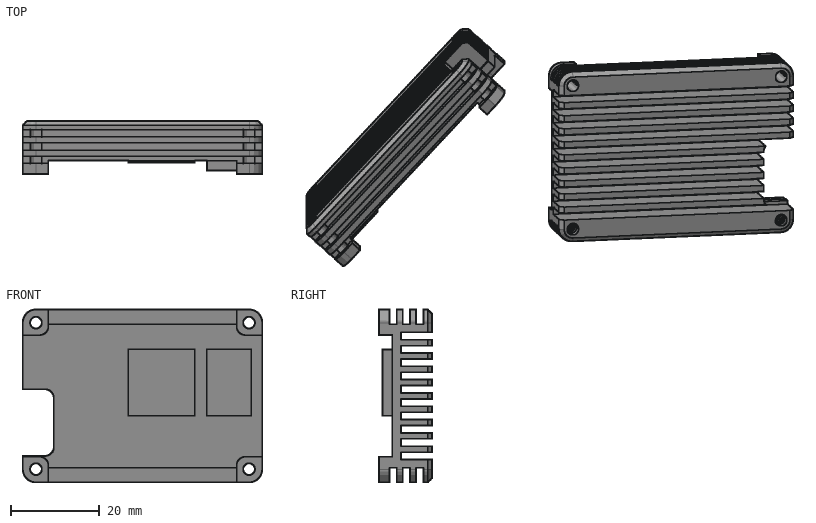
import cadquery as cq


length = 54.0
depth = 12.0
height = 39.0
corner_radius = 3.0
tip_chamfer = 1.0

plate_front = 3.0
plate_back = 5.0

slot_pitch = 3.0
slot_width = 1.6
back_slot_count = 10
rim_slot_count = 3
rim_slot_depth = 3.3
end_fin_thickness = 2.0

boss_size = 5.8
boss_inner_radius = 2.0
hole_diameter = 2.6
hole_inset = corner_radius

notch_depth = 7.0
notch_height = 15.0
notch_base = 6.0
notch_radius = 2.0

pad_height = 15.0
pad_top_inset = 9.0
large_pad_length = 15.0
large_pad_inset = 23.8
large_pad_thickness = 0.4
small_pad_length = 10.0
small_pad_inset = 41.5
small_pad_thickness = 2.2

left = -length / 2
bottom = -height / 2
top = height / 2


def block(x_min, x_size, y_min, y_max, z_min, z_size):
    """Box given by its low corner in X and Z and its limits in Y."""
    box = cq.Workplane("XY").box(x_size, y_max - y_min, z_size, centered=False)
    return box.translate((x_min, y_min, z_min))


def make_body():
    """Rounded block with its fin-tip edge chamfered."""
    body = cq.Workplane("XY").box(length, depth, height).translate((0, depth / 2, 0))
    body = body.edges("|Y").fillet(corner_radius)
    return body.faces(">Y").edges().chamfer(tip_chamfer)


def make_corner_boss(x_side, z_side):
    """Square boss filling one corner, rounded on the corner facing the part centre."""
    boss = cq.Workplane("XY").box(boss_size, plate_front, boss_size)
    x_edge = "<X" if x_side > 0 else ">X"
    z_edge = "<Z" if z_side > 0 else ">Z"
    boss = boss.edges("|Y").edges(x_edge).edges(z_edge).fillet(boss_inner_radius)
    x_centre = x_side * (length - boss_size) / 2
    z_centre = z_side * (height - boss_size) / 2
    return boss.translate((x_centre, plate_front / 2, z_centre))


def cut_front_recess(body):
    """Clear everything ahead of the plate except the corner bosses."""
    recess = block(left, length, 0, plate_front, bottom, height)
    for x_side in (-1, 1):
        for z_side in (-1, 1):
            recess = recess.cut(make_corner_boss(x_side, z_side))
    return body.cut(recess)


def cut_back_slots(body):
    """Horizontal slots along X that leave the fins standing on the plate."""
    for index in range(back_slot_count):
        z_centre = (index - (back_slot_count - 1) / 2) * slot_pitch
        z_min = z_centre - slot_width / 2
        body = body.cut(block(left, length, plate_back, depth, z_min, slot_width))
    return body


def cut_rim_slots(body):
    """Slots along X in the top and bottom rims."""
    for index in range(rim_slot_count):
        y_max = depth - end_fin_thickness - index * slot_pitch
        y_min = y_max - slot_width
        for z_min in (bottom, top - rim_slot_depth):
            body = body.cut(block(left, length, y_min, y_max, z_min, rim_slot_depth))
    return body


def cut_notch(body):
    """Rounded notch through the plate and the fins."""
    notch = block(left, notch_depth, plate_front, depth, bottom + notch_base, notch_height)
    notch = notch.edges("|Y and >X").fillet(notch_radius)
    return body.cut(notch)


def cut_mounting_holes(body):
    """Through holes in the four corners."""
    x_spacing = length - 2 * hole_inset
    z_spacing = height - 2 * hole_inset
    holes = cq.Workplane("XZ").rect(x_spacing, z_spacing, forConstruction=True).vertices()
    return body.cut(holes.circle(hole_diameter / 2).extrude(-depth))


def add_pad(body, inset, pad_length, thickness):
    """Contact pad standing on the front face of the plate."""
    z_min = top - pad_top_inset - pad_height
    pad = block(left + inset, pad_length, plate_front - thickness, plate_front, z_min, pad_height)
    return body.union(pad)


result = make_body()
result = cut_front_recess(result)
result = cut_back_slots(result)
result = cut_rim_slots(result)
result = cut_notch(result)
result = cut_mounting_holes(result)
result = add_pad(result, large_pad_inset, large_pad_length, large_pad_thickness)
result = add_pad(result, small_pad_inset, small_pad_length, small_pad_thickness)